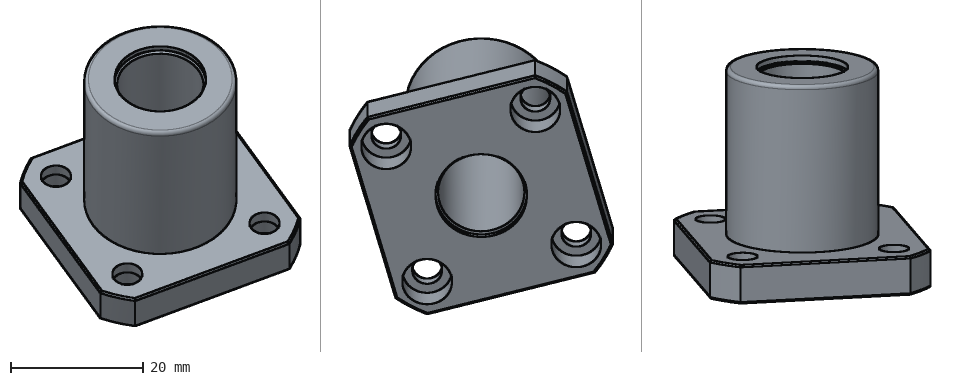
import cadquery as cq

flange_diameter = 42.95
flange_side = 34.02
flange_thickness = 6
flange_chamfer = 0.3

total_height = 32.0
sleeve_diameter = 23.0
sleeve_top_fillet = 0.65

bore_diameter = 13.0
mouth_diameter = 13.8
mouth_depth = 0.9
groove_diameter = 14.6
groove_width = 0.3

hole_count = 4
hole_diameter = 4.5
hole_circle_diameter = 33.0
counterbore_diameter = 7.5
counterbore_depth = 4.1


def cylinder(diameter, bottom, height):
    """Vertical cylinder on the part axis."""
    return cq.Workplane("XY", origin=(0, 0, bottom)).circle(diameter / 2).extrude(height)


def make_flange():
    square = cq.Workplane("XY").rect(flange_side, flange_side).extrude(flange_thickness)
    square = square.rotate((0, 0, 0), (0, 0, 1), 45)
    trimmed = square.intersect(cylinder(flange_diameter, 0, flange_thickness))
    return trimmed.faces("<Z or >Z").edges().chamfer(flange_chamfer)


def make_sleeve():
    return cylinder(sleeve_diameter, 0, total_height).faces(">Z").edges().fillet(sleeve_top_fillet)


def make_bore():
    bore = cylinder(bore_diameter, 0, total_height)
    lower_mouth = cylinder(mouth_diameter, 0, mouth_depth)
    lower_groove = cylinder(groove_diameter, mouth_depth, groove_width)
    upper_mouth = cylinder(mouth_diameter, total_height - mouth_depth, mouth_depth)
    upper_groove_bottom = total_height - mouth_depth - groove_width
    upper_groove = cylinder(groove_diameter, upper_groove_bottom, groove_width)
    return bore.union(lower_mouth).union(lower_groove).union(upper_mouth).union(upper_groove)


def make_mounting_holes():
    """Through holes on the X and Y axes, counterbored from the underside."""
    layout = cq.Workplane("XY").polarArray(hole_circle_diameter / 2, 0, 360, hole_count)
    through_holes = layout.circle(hole_diameter / 2).extrude(flange_thickness)
    counterbores = layout.circle(counterbore_diameter / 2).extrude(counterbore_depth)
    return through_holes.union(counterbores)


body = make_flange().union(make_sleeve())
result = body.cut(make_bore()).cut(make_mounting_holes())